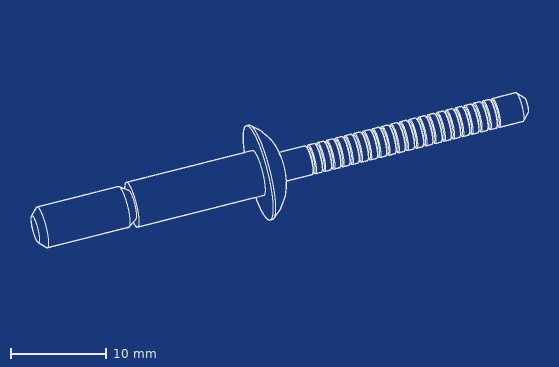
import cadquery as cq

total_length = 54.1

tail_radius = 2.2
tail_tip_radius = 1.45
tail_chamfer_length = 0.75
tail_shoulder_y = 9.75

sleeve_radius = 2.45
sleeve_end_y = 10.65
head_diameter = 10.2
head_underside_y = 24.55
head_rim_thickness = 0.25
dome_height = 2.25
dome_bulge = 0.46

stem_radius = 1.55
stem_chamfer = 0.75
groove_count = 21
groove_row_length = 20.3
first_groove_y = 30.3
groove_mouth_width = 0.4
groove_floor_width = 0.19
groove_depth = 0.15

head_radius = head_diameter / 2
head_rim_y = head_underside_y + head_rim_thickness
head_top_y = head_rim_y + dome_height
groove_pitch = groove_row_length / (groove_count - 1)


def revolve_about_y(profile):
    """Turn a closed profile of (radius, Y) points into a solid."""
    return profile.close().revolve(360, (0, 0, 0), (0, 1, 0))


def rivet_body():
    """Tail, sleeve, head and plain stem as one turned solid."""
    profile = (
        cq.Workplane("XY")
        .lineTo(tail_tip_radius, 0)
        .lineTo(tail_radius, tail_chamfer_length)
        .lineTo(tail_radius, tail_shoulder_y)
        .lineTo(stem_radius, sleeve_end_y)
        .lineTo(sleeve_radius, sleeve_end_y)
        .lineTo(sleeve_radius, head_underside_y)
        .lineTo(head_radius, head_underside_y)
        .lineTo(head_radius, head_rim_y)
        .sagittaArc((stem_radius, head_top_y), -dome_bulge)
        .lineTo(stem_radius, total_length - stem_chamfer)
        .lineTo(stem_radius - stem_chamfer, total_length)
        .lineTo(0, total_length)
    )
    return revolve_about_y(profile)


def groove_cutter(center_y):
    """Ring that cuts one sloped-wall, flat-floored groove around the stem."""
    floor_radius = stem_radius - groove_depth
    profile = (
        cq.Workplane("XY")
        .moveTo(stem_radius, center_y - groove_mouth_width / 2)
        .lineTo(stem_radius, center_y + groove_mouth_width / 2)
        .lineTo(floor_radius, center_y + groove_floor_width / 2)
        .lineTo(floor_radius, center_y - groove_floor_width / 2)
    )
    return revolve_about_y(profile)


result = rivet_body()
for index in range(groove_count):
    result = result.cut(groove_cutter(first_groove_y + index * groove_pitch))